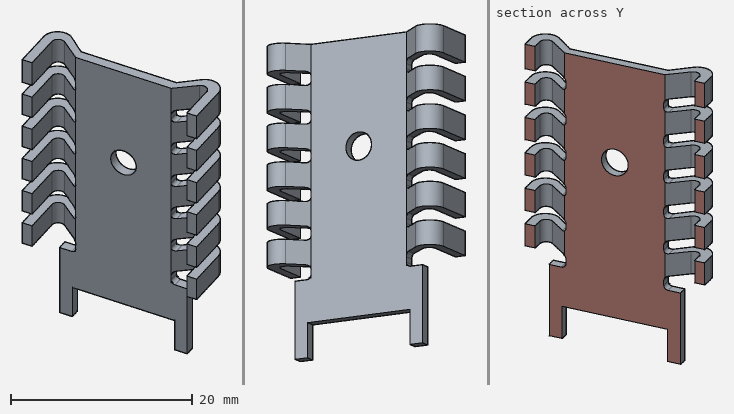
import cadquery as cq
import math

height = 35.6
half_width = 22.0 / 2
depth = 6.7
sheet = 1.25

plate_half_width = 6.0
plate_front = 3.2
plate_back = plate_front + sheet
hole_diameter = 3.2
hole_height = 23.32

outer_radius = 1.7
inner_radius = 0.8
inner_crest = 5.35

fin_count = 6
slot_width = 1.6
slot_corner_radius = 0.5
top_fin_height = 3.1
shoulder_height = 8.9
fins_height = height - shoulder_height - top_fin_height - fin_count * slot_width
fin_height = fins_height / (fin_count - 1)

tab_half_width = 8.05
tab_top = 9.05
leg_width = 1.6
leg_length = 4.0


def curl_points(bend_y, center_x, center_y, radius):
    """Return the tangent point, arc midpoint and arc end of a curl that starts at the bend line."""
    run = center_x - plate_half_width
    rise = center_y - bend_y
    slope = math.atan2(rise, run) + math.asin(radius / math.hypot(run, rise))
    tangent_angle = slope + math.pi / 2

    def on_arc(angle):
        return (center_x + radius * math.cos(angle), center_y + radius * math.sin(angle))

    return on_arc(tangent_angle), on_arc(tangent_angle / 2), on_arc(0)


def mirrored(point):
    return (-point[0], point[1])


def make_bent_sheet():
    """Flat plate whose two sides slope back and curl forward, extruded along Z."""
    inner_face_x = half_width - sheet
    outer = curl_points(plate_back, half_width - outer_radius, depth - outer_radius, outer_radius)
    inner = curl_points(plate_front, inner_face_x - inner_radius, inner_crest - inner_radius, inner_radius)
    outer_tangent, outer_middle, outer_end = outer
    inner_tangent, inner_middle, inner_end = inner
    return (
        cq.Workplane("XY", origin=(0, 0, tab_top))
        .moveTo(-plate_half_width, plate_back)
        .lineTo(plate_half_width, plate_back)
        .lineTo(*outer_tangent)
        .threePointArc(outer_middle, outer_end)
        .lineTo(half_width, 0)
        .lineTo(inner_face_x, 0)
        .lineTo(*inner_end)
        .threePointArc(inner_middle, inner_tangent)
        .lineTo(plate_half_width, plate_front)
        .lineTo(-plate_half_width, plate_front)
        .lineTo(*mirrored(inner_tangent))
        .threePointArc(mirrored(inner_middle), mirrored(inner_end))
        .lineTo(-inner_face_x, 0)
        .lineTo(-half_width, 0)
        .lineTo(*mirrored(outer_end))
        .threePointArc(mirrored(outer_middle), mirrored(outer_tangent))
        .close()
        .extrude(height - tab_top)
    )


def make_tab():
    """Flat tab below the plate, notched to leave a leg at each side."""
    tab = cq.Workplane("XY").box(2 * tab_half_width, sheet, tab_top, centered=(True, False, False))
    notch_width = 2 * (tab_half_width - leg_width)
    notch = cq.Workplane("XY").box(notch_width, sheet, leg_length, centered=(True, False, False))
    return tab.cut(notch).translate((0, plate_front, 0))


def make_slot(side, bottom):
    """Cutter open to the outside, with rounded corners at its floor."""
    length = half_width - plate_half_width
    return (
        cq.Workplane("XY")
        .box(length, depth, slot_width, centered=(True, False, False))
        .edges("|Y and <X" if side > 0 else "|Y and >X")
        .fillet(slot_corner_radius)
        .translate((side * (plate_half_width + length / 2), 0, bottom))
    )


result = make_bent_sheet().union(make_tab())

for index in range(fin_count):
    slot_bottom = shoulder_height + index * (slot_width + fin_height)
    for side in (-1, 1):
        result = result.cut(make_slot(side, slot_bottom))

hole = (
    cq.Workplane("XZ", origin=(0, 0, hole_height))
    .circle(hole_diameter / 2)
    .extrude(-depth)
)
result = result.cut(hole)